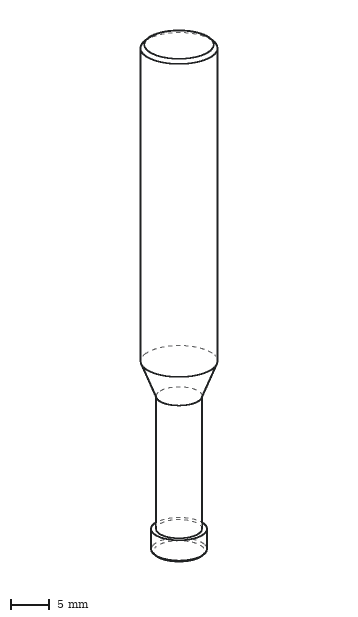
import cadquery as cq

total_length = 72.0
shank_diameter = 10.0
shank_chamfer = 0.5
shank_length = 45.0
taper_length = 5.0
neck_diameter = 6.0
head_diameter = 7.3
head_height = 3.2
head_chamfer = 0.3

bottom = -total_length / 2
top = total_length / 2
head_top = bottom + head_height
taper_top = top - shank_length
taper_bottom = taper_top - taper_length


def make_holder():
    """Chamfered shank that tapers down to a slim neck, as one turned solid."""
    shank_radius = shank_diameter / 2
    neck_radius = neck_diameter / 2
    return (
        cq.Workplane("XZ")
        .moveTo(0, head_top)
        .lineTo(neck_radius, head_top)
        .lineTo(neck_radius, taper_bottom)
        .lineTo(shank_radius, taper_top)
        .lineTo(shank_radius, top - shank_chamfer)
        .lineTo(shank_radius - shank_chamfer, top)
        .lineTo(0, top)
        .close()
        .revolve(360, (0, 0), (0, 1))
    )


def make_head():
    """Disc on the end of the neck, with its lower rim chamfered."""
    return (
        cq.Workplane("XY", origin=(0, 0, bottom))
        .circle(head_diameter / 2)
        .extrude(head_height)
        .faces("<Z")
        .chamfer(head_chamfer)
    )


holder = make_holder()
head = make_head()

result = cq.Compound.makeCompound([holder.val(), head.val()])